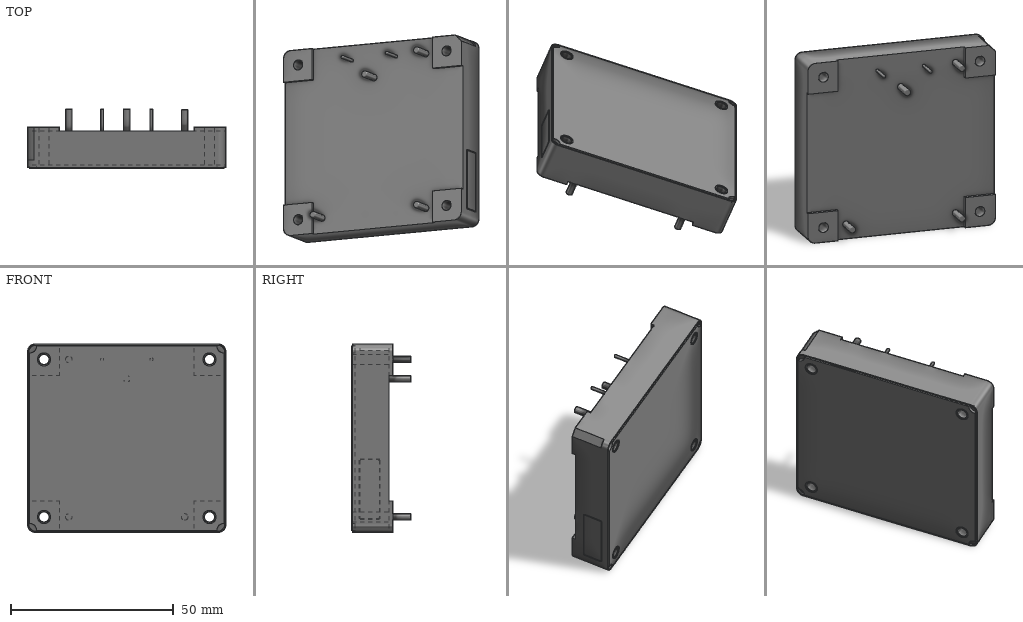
import cadquery as cq

width = 61.0
height = 57.9
total_depth = 18.2
body_depth = 12.7
corner_radius = 2.45

rim_setback = 0.3
rim_width = 0.4
plate_gap = 0.25
gap_depth = 1.0
relief_diameter = 3.9
relief_inset = 0.8

marker_leg = 2.1
marker_front = 2.6

channel_depth = 1.15
channel_width = 41.35
channel_height = 38.5

hole_diameter = 3.1
hole_mouth_diameter = 4.0
hole_mouth_depth = 0.25
hole_pitch_x = 50.85
hole_pitch_z = 48.4

label_width = 6.45
label_height = 18.6
label_front = 2.3
label_bottom = 4.0
label_corner = 0.6
label_groove_width = 0.25
label_groove_depth = 0.1

power_diameter = 2.0
signal_diameter = 1.0
pin_tip_radius = 0.25
pin_row_z = hole_pitch_z / 2
centre_pin_z = 18.2
power_pin_x = 17.8
signal_pin_x = 7.55
short_pin_setback = 0.2
pin_embed = 0.6

channel_floor = body_depth - channel_depth


def block(size_x, size_z, y_start, y_end):
    """Box centred on X and Z between two Y positions."""
    return cq.Workplane("XY").box(
        size_x, y_end - y_start, size_z, centered=(True, False, True)
    ).translate((0, y_start, 0))


def rounded_block(inset, y_start, y_end):
    """Body outline moved inward by the inset, extruded between two Y positions."""
    outline = block(width - 2 * inset, height - 2 * inset, y_start, y_end)
    return outline.edges("|Y").fillet(corner_radius - inset)


def rod(diameter, x, z, y_start, y_end):
    """Cylinder along Y between two Y positions."""
    return cq.Workplane("XZ", origin=(x, y_start, z)).circle(diameter / 2).extrude(y_start - y_end)


def make_shell():
    shell = rounded_block(0, rim_setback, body_depth)
    shell = shell.cut(rounded_block(rim_width, rim_setback, gap_depth))
    plate = rounded_block(rim_width + plate_gap, 0, gap_depth)
    for side_x in (-1, 1):
        for side_z in (-1, 1):
            x = side_x * (width / 2 - relief_inset)
            z = side_z * (height / 2 - relief_inset)
            plate = plate.cut(rod(relief_diameter, x, z, 0, gap_depth))
    return shell.union(plate)


def cut_marker_corner(body):
    flat = (
        cq.Workplane("XZ", origin=(-width / 2, marker_front, height / 2))
        .polyline([(0, 0), (marker_leg, 0), (0, -marker_leg)])
        .close()
        .extrude(marker_front - body_depth)
    )
    return body.cut(flat)


def cut_channels(body):
    body = body.cut(block(channel_width, height, channel_floor, body_depth))
    return body.cut(block(width, channel_height, channel_floor, body_depth))


def cut_mounting_holes(body):
    for x in (-hole_pitch_x / 2, hole_pitch_x / 2):
        for z in (-hole_pitch_z / 2, hole_pitch_z / 2):
            body = body.cut(rod(hole_diameter, x, z, 0, body_depth))
            body = body.cut(rod(hole_mouth_diameter, x, z, 0, hole_mouth_depth))
    return body


def label_panel(inset):
    """Rounded label panel, moved inward by the inset, as deep as the groove."""
    panel = cq.Workplane("XY").box(
        label_groove_depth, label_width - 2 * inset, label_height - 2 * inset, centered=False
    )
    panel = panel.edges("|X").fillet(label_corner - inset)
    return panel.translate((-width / 2, label_front + inset, label_bottom + inset - height / 2))


def cut_label_frame(body):
    return body.cut(label_panel(0).cut(label_panel(label_groove_width)))


def make_pin(diameter, x, z, tip):
    """Pin with a rounded tip, rooted below the channel floor."""
    pin = rod(diameter, x, z, channel_floor - pin_embed, tip)
    return pin.faces(">Y").edges().fillet(pin_tip_radius)


def add_pins(body):
    short_tip = total_depth - short_pin_setback
    power_pins = [
        (-power_pin_x, pin_row_z, total_depth),
        (0, centre_pin_z, total_depth),
        (-power_pin_x, -pin_row_z, total_depth),
        (power_pin_x, -pin_row_z, short_tip),
    ]
    for x, z, tip in power_pins:
        body = body.union(make_pin(power_diameter, x, z, tip))
    for x in (-signal_pin_x, signal_pin_x):
        body = body.union(make_pin(signal_diameter, x, pin_row_z, total_depth))
    return body


body = make_shell()
body = cut_marker_corner(body)
body = cut_channels(body)
body = cut_mounting_holes(body)
body = cut_label_frame(body)
result = add_pins(body)